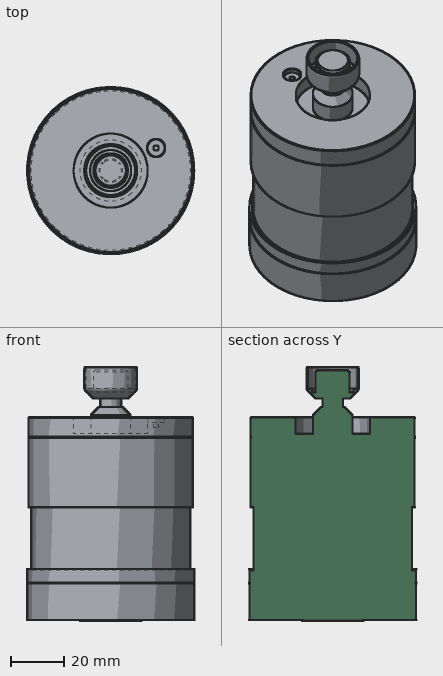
import cadquery as cq
import math

overall_height = 95.6
foot_top = 0.3
base_top = 14.2
collar_top = 19.6
waist_top = 42.8
barrel_top = 69.2
cap_top = 76.7

foot_diameter = 23.1
base_diameter = 63.0
waist_diameter = 60.0
barrel_diameter = 62.0
edge_break = 0.2
cap_edge_break = 0.3

clearance_diameter = 61.1
clearance_depth = 0.5

opening_diameter = 27.9
opening_depth = 6.2
post_diameter = 15.0
post_shoulder = 77.6
neck_start = 80.7
neck_start_diameter = 9.0
neck_diameter = 8.0

knob_diameter = 20.0
knob_underside = 83.7
knob_underside_diameter = 13.0
knob_side_start = 88.0
knob_fillet = 2.0
knob_rim_height = 0.9
knob_rim_step = 0.24

recess_diameter = 18.4
recess_ledge = 87.5
channel_diameter = 15.5
channel_floor = 86.2
button_top = 94.5
button_diameter = 13.0
button_chamfer = 0.8

small_hole_x = 17.1
small_hole_y = 8.5
small_hole_diameter = 6.5
small_hole_depth = 1.9
small_hole_chamfer = 0.2
pilot_diameter = 2.0
pilot_depth = 1.9


def cylinder(diameter, bottom, top):
    """Upright cylinder on the Z axis between two heights."""
    return cq.Workplane("XY").workplane(offset=bottom).circle(diameter / 2).extrude(top - bottom)


def revolve_profile(profile):
    """Turn a closed radius-height profile about the Z axis."""
    return profile.close().revolve(360, (0, 0, 0), (0, 1, 0))


def make_body():
    foot = cylinder(foot_diameter, 0, foot_top)
    base = cylinder(base_diameter, foot_top, base_top).faces(">Z").edges().chamfer(edge_break)
    collar = cylinder(base_diameter, base_top, collar_top).faces("<Z").edges().chamfer(edge_break)
    clearance = cylinder(clearance_diameter, collar_top - clearance_depth, collar_top)
    waist = cylinder(waist_diameter, base_top, waist_top)
    barrel = cylinder(barrel_diameter, waist_top, barrel_top).edges().chamfer(edge_break)
    cap = cylinder(barrel_diameter, barrel_top, cap_top)
    cap = cap.faces("<Z").edges().chamfer(edge_break)
    cap = cap.faces(">Z").edges().chamfer(cap_edge_break)
    opening = cylinder(opening_diameter, cap_top - opening_depth, cap_top)
    lower = foot.union(base).union(collar.cut(clearance))
    return lower.union(waist).union(barrel).union(cap.cut(opening))


def make_small_hole_cutter():
    floor = cap_top - small_hole_depth
    mouth_diameter = small_hole_diameter + 2 * small_hole_chamfer
    profile = (
        cq.Workplane("XZ")
        .moveTo(0, floor - pilot_depth)
        .lineTo(pilot_diameter / 2, floor - pilot_depth)
        .lineTo(pilot_diameter / 2, floor)
        .lineTo(small_hole_diameter / 2, floor)
        .lineTo(small_hole_diameter / 2, cap_top - small_hole_chamfer)
        .lineTo(mouth_diameter / 2, cap_top)
        .lineTo(0, cap_top)
    )
    return revolve_profile(profile).translate((small_hole_x, small_hole_y, 0))


def make_post():
    profile = (
        cq.Workplane("XZ")
        .moveTo(0, cap_top - opening_depth)
        .lineTo(post_diameter / 2, cap_top - opening_depth)
        .lineTo(post_diameter / 2, post_shoulder)
        .lineTo(neck_start_diameter / 2, neck_start)
        .lineTo(neck_diameter / 2, neck_start)
        .lineTo(neck_diameter / 2, knob_underside)
        .lineTo(0, knob_underside)
    )
    return revolve_profile(profile)


def make_knob():
    radius = knob_diameter / 2
    rim_radius = radius - knob_rim_step
    recess_radius = recess_diameter / 2
    channel_radius = channel_diameter / 2
    button_radius = button_diameter / 2

    cos_45 = math.cos(math.radians(45))
    cos_22 = math.cos(math.radians(22.5))
    sin_22 = math.sin(math.radians(22.5))
    fillet_centre = radius - knob_fillet
    fillet_end = (fillet_centre + knob_fillet * cos_45, knob_side_start - knob_fillet * cos_45)
    fillet_middle = (fillet_centre + knob_fillet * cos_22, knob_side_start - knob_fillet * sin_22)

    profile = (
        cq.Workplane("XZ")
        .moveTo(0, knob_underside)
        .lineTo(knob_underside_diameter / 2, knob_underside)
        .lineTo(*fillet_end)
        .threePointArc(fillet_middle, (radius, knob_side_start))
        .lineTo(radius, overall_height - knob_rim_height)
        .lineTo(rim_radius, overall_height)
        .lineTo(recess_radius, overall_height)
        .lineTo(recess_radius, recess_ledge)
        .lineTo(channel_radius, recess_ledge)
        .lineTo(channel_radius, channel_floor)
        .lineTo(button_radius, channel_floor)
        .lineTo(button_radius, button_top - button_chamfer)
        .lineTo(button_radius - button_chamfer, button_top)
        .lineTo(0, button_top)
    )
    return revolve_profile(profile)


result = make_body().cut(make_small_hole_cutter()).union(make_post()).union(make_knob())